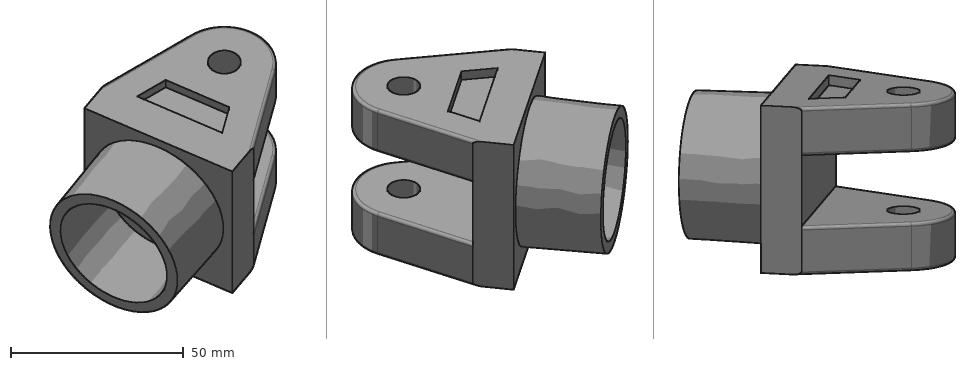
import cadquery as cq
import math

block_size = 50.0
block_depth = 12.0

ear_gap = 21.0
ear_tip_radius = 15.0
ear_length = 40.0
ear_edge_fillet = 1.0
pin_hole_diameter = 9.5

recess_margin = 10.0
recess_length = 10.0
recess_depth = 3.0

socket_length = 25.0
socket_base_radius = 22.0
bore_mouth_radius = 18.0
bore_depth = 24.5
draft_angle = math.radians(1.0)

half_size = block_size / 2
pin_y = block_depth + ear_length - ear_tip_radius

corner_run = pin_y - block_depth
corner_distance = math.hypot(half_size, corner_run)
flank_angle = math.acos(ear_tip_radius / corner_distance) - math.atan2(corner_run, half_size)
tangent_x = ear_tip_radius * math.cos(flank_angle)
tangent_y = pin_y + ear_tip_radius * math.sin(flank_angle)


def make_fork():
    """Block and ears as one plate, split by the gap, with the ear edges rounded."""
    plate = (
        cq.Workplane("XY")
        .moveTo(-half_size, 0)
        .lineTo(half_size, 0)
        .lineTo(half_size, block_depth)
        .lineTo(tangent_x, tangent_y)
        .threePointArc((0, pin_y + ear_tip_radius), (-tangent_x, tangent_y))
        .lineTo(-half_size, block_depth)
        .close()
        .extrude(half_size, both=True)
    )
    gap = cq.Workplane("XY").box(block_size, ear_length, ear_gap).translate(
        (0, block_depth + ear_length / 2, 0)
    )
    ear_zone = cq.selectors.BoxSelector(
        (-block_size, block_depth + ear_edge_fillet, -block_size),
        (block_size, block_depth + ear_length, block_size),
    )
    return plate.cut(gap).edges(ear_zone).edges("not |Z").fillet(ear_edge_fillet)


def make_pin_hole():
    """Pin bore through both ears."""
    return (
        cq.Workplane("XY")
        .center(0, pin_y)
        .circle(pin_hole_diameter / 2)
        .extrude(half_size, both=True)
    )


def make_recess():
    """Shallow pocket starting level with the gap floor."""
    wide_half = half_size - recess_margin / math.cos(flank_angle)
    narrow_half = wide_half - recess_length * math.tan(flank_angle)
    recess_end_y = block_depth + recess_length
    return (
        cq.Workplane("XY", origin=(0, 0, half_size))
        .moveTo(-wide_half, block_depth)
        .lineTo(wide_half, block_depth)
        .lineTo(narrow_half, recess_end_y)
        .lineTo(-narrow_half, recess_end_y)
        .close()
        .extrude(-recess_depth)
    )


def make_socket():
    """Drafted tube around the Y axis, closed by a thin floor against the block."""
    floor_y = bore_depth - socket_length
    mouth_radius = socket_base_radius - socket_length * math.tan(draft_angle)
    bore_floor_radius = bore_mouth_radius - bore_depth * math.tan(draft_angle)
    return (
        cq.Workplane("YZ")
        .moveTo(0, 0)
        .lineTo(0, socket_base_radius)
        .lineTo(-socket_length, mouth_radius)
        .lineTo(-socket_length, bore_mouth_radius)
        .lineTo(floor_y, bore_floor_radius)
        .lineTo(floor_y, 0)
        .close()
        .revolve(360, (0, 0, 0), (1, 0, 0))
    )


result = make_fork().cut(make_pin_hole()).cut(make_recess()).union(make_socket())